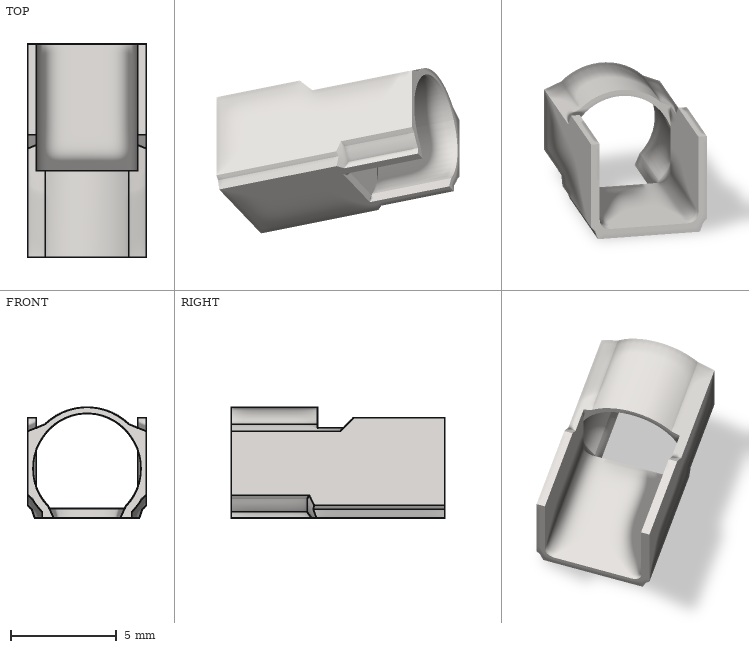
import cadquery as cq
import math

width = 5.61
length = 10.1
height = 5.25
half_width = width / 2

sleeve_length = 4.09
roof_thickness = 0.3
roof_radius = 2.85
axis_z = height - roof_radius
shoulder_z = 4.11
roof_edge_x = 1.98
roof_edge_z = axis_z + math.sqrt(roof_radius**2 - roof_edge_x**2)

bore_top_z = height - roof_thickness
bore_half_width = 2.56
bore_widest_z = 2.4
bore_seam_x = 2.11
bore_seam_z = 3.79

mouth_top_half_width = 1.83
mouth_bottom_half_width = 1.58
mouth_top_z = 0.57

wall_thickness = 0.41
wall_top_z = 4.76
wall_full_height_y = 5.8
floor_thickness = 0.46
bay_corner_radius = 0.49
bay_half_width = half_width - wall_thickness

bevel_top_z = 0.61
bevel_width = 0.18
bevel_bottom_z = bevel_top_z - bevel_width
base_half_width = 2.47

relief_radius = 2.99
relief_straight_length = 3.59
relief_top_z = 1.09
foot_half_width = 2.12
foot_top_z = axis_z - math.sqrt(relief_radius**2 - foot_half_width**2)
relief_corner_x = 2.59
relief_corner_z = axis_z - math.sqrt(relief_radius**2 - relief_corner_x**2)


def front_plane():
    """XZ sketch plane at the front end; extruding by a negative length goes toward +Y."""
    return cq.Workplane("XZ")


def make_body():
    return (
        front_plane()
        .moveTo(-base_half_width, 0)
        .lineTo(base_half_width, 0)
        .lineTo(half_width - bevel_width, bevel_bottom_z)
        .lineTo(half_width, bevel_top_z)
        .lineTo(half_width, shoulder_z)
        .lineTo(roof_edge_x, roof_edge_z)
        .threePointArc((0, height), (-roof_edge_x, roof_edge_z))
        .lineTo(-half_width, shoulder_z)
        .lineTo(-half_width, bevel_top_z)
        .lineTo(-half_width + bevel_width, bevel_bottom_z)
        .close()
        .extrude(-length)
    )


def make_raised_walls():
    """Block over the rear of the body with a 45 degree front slope; the bay splits it into two walls."""
    slope_start_y = wall_full_height_y - (wall_top_z - shoulder_z)
    return (
        cq.Workplane("YZ", origin=(-half_width, 0, 0))
        .polyline([
            (slope_start_y, shoulder_z),
            (wall_full_height_y, wall_top_z),
            (length, wall_top_z),
            (length, bevel_top_z),
            (slope_start_y, bevel_top_z),
        ])
        .close()
        .extrude(width)
    )


def make_bay():
    bay_length = length - sleeve_length
    return (
        cq.Workplane("XY", origin=(0, sleeve_length, floor_thickness))
        .center(0, bay_length / 2)
        .rect(2 * bay_half_width, bay_length)
        .extrude(height)
        .edges("|Y and <Z")
        .fillet(bay_corner_radius)
    )


def make_bore():
    """Bore and its downward opening as one closed outline."""
    return (
        front_plane()
        .moveTo(-mouth_bottom_half_width, 0)
        .lineTo(mouth_bottom_half_width, 0)
        .lineTo(mouth_top_half_width, mouth_top_z)
        .threePointArc((bore_half_width, bore_widest_z), (bore_seam_x, bore_seam_z))
        .threePointArc((0, bore_top_z), (-bore_seam_x, bore_seam_z))
        .threePointArc((-bore_half_width, bore_widest_z), (-mouth_top_half_width, mouth_top_z))
        .close()
        .extrude(-sleeve_length)
    )


def make_reliefs():
    """Corner blocks outside a cylinder that flares into a 45 degree cone."""
    flare = sleeve_length - relief_straight_length
    core = (
        cq.Workplane("XY")
        .polyline([
            (0, 0),
            (relief_radius, 0),
            (relief_radius, relief_straight_length),
            (relief_radius + flare, sleeve_length),
            (0, sleeve_length),
        ])
        .close()
        .revolve(360, (0, 0), (0, 1))
        .translate((0, 0, axis_z))
    )
    corner = (
        front_plane()
        .polyline([
            (foot_half_width, 0),
            (half_width, 0),
            (half_width, relief_top_z),
            (relief_corner_x, relief_corner_z),
            (foot_half_width, foot_top_z),
        ])
        .close()
        .extrude(-sleeve_length)
    )
    right_relief = corner.cut(core)
    return right_relief.union(right_relief.mirror("YZ"))


result = (
    make_body()
    .union(make_raised_walls())
    .cut(make_bay())
    .cut(make_bore())
    .cut(make_reliefs())
)